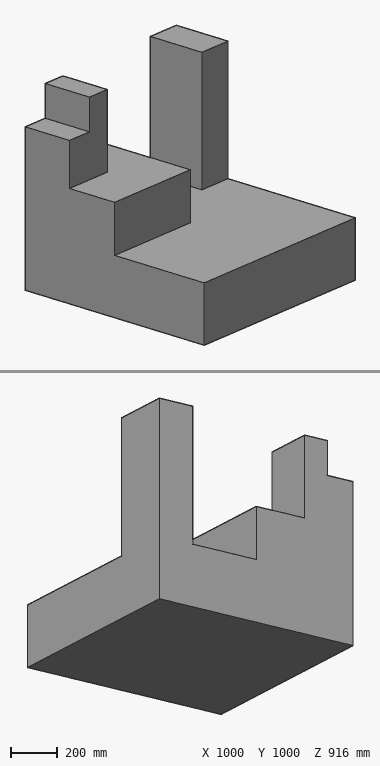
import cadquery as cq

side = 1000.0
base_height = 286.0

step_side = side / 2
step_height = 529.0
tower_width = 248.0
tower_back = side / 4
tower_height = 908.0
ledge_depth = 132.0
ledge_height = 749.0

column_width = 289.0
column_depth = 173.0
column_height = 916.0


def block(width, depth, height, front=0.0):
    """Block standing on the bottom plane, flush with the left side."""
    return cq.Workplane("XY").box(width, depth, height, centered=False).translate((0, front, 0))


base = block(side, side, base_height)
step = block(step_side, step_side, step_height)
ledge = block(tower_width, ledge_depth, ledge_height)
tower = block(tower_width, tower_back - ledge_depth, tower_height, front=ledge_depth)
column = block(column_width, column_depth, column_height, front=side - column_depth)

result = base.union(step).union(ledge).union(tower).union(column)